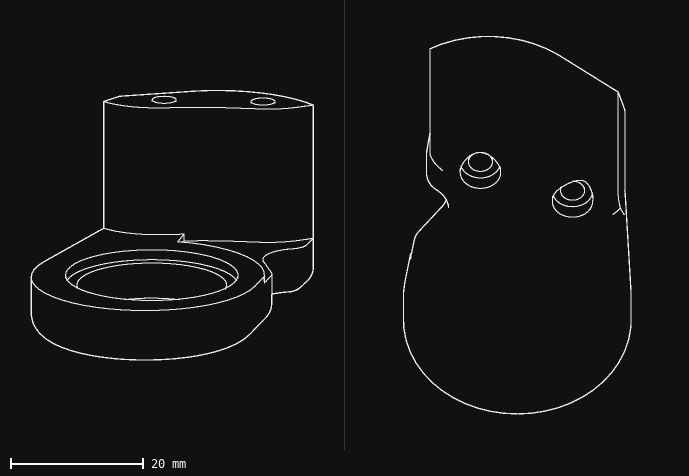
import cadquery as cq
import math

BASE_HEIGHT = 8.55
TOTAL_HEIGHT = 28.5
BOTTOM_FILLET = 2.95

END_RADIUS = 17.15
END_CENTER = (0, -1.4)

LEDGE_RADIUS = 12.95
LEDGE_DEPTH = 1.55
POCKET_RADIUS = 11.25
POCKET_FLOOR = 1.5

WEB_HEIGHT = 7.55
RIM_START = (-9.55, 14.75)
RIM_MIDDLE = (-0.65, 17.25)
RIM_END = (12.55, 11.35)
RIM_WALL_POINT = (-11.6, 18.0)

HOLE_RADIUS = 1.8
COUNTERBORE_RADIUS = 3.05
COUNTERBORE_DEPTH = 2.6
HOLE_CENTERS = [(-5.5, 28.7), (-16.5, 18.7)]

HEEL_APEX = (-23.1, 14.2)
HEEL_FLAT_Y = (11.55, 15.2)
WALL_BACK_START = (-16.55, 25.05)
WALL_BACK_MIDDLE = (-10.15, 30.95)
WALL_TIP = (1.05, 32.9)

LOBE_START = (2.7, 29.9)
LOBE_MIDDLE = (3.1, 28.3)
LOBE_END = (2.65, 26.8)
NOTCH_MIDDLE = (1.85, 23.4)
NOTCH_END = (4.8, 18.95)
SHOULDER_START = (9.25, 16.1)
SHOULDER_MIDDLE = (9.85, 15.6)
SHOULDER_END = (10.4, 14.9)

INNER_TIP_FLAT = (0.1, 30.15)
INNER_ARCS = [
    ((-1.5, 27.35), (-3.8, 25.2)),
    ((-8.95, 20.85), (-13.95, 15.4)),
    ((-17.2, 12.8), (-21.2, 11.55)),
]


def tangent_point(point, side):
    """Touch point on the round end of a line from point; side is +1 or -1 around the circle."""
    dx = point[0] - END_CENTER[0]
    dy = point[1] - END_CENTER[1]
    angle = math.atan2(dy, dx) + side * math.acos(END_RADIUS / math.hypot(dx, dy))
    return (
        END_CENTER[0] + END_RADIUS * math.cos(angle),
        END_CENTER[1] + END_RADIUS * math.sin(angle),
    )


def point_on_line(start, end, y):
    """Point with the given Y on the straight line through start and end."""
    x = start[0] + (end[0] - start[0]) * (y - start[1]) / (end[1] - start[1])
    return (x, y)


SIDE_TANGENT = tangent_point(HEEL_APEX, 1)
HEEL_FLAT = [
    point_on_line(HEEL_APEX, SIDE_TANGENT, HEEL_FLAT_Y[0]),
    point_on_line(HEEL_APEX, WALL_BACK_START, HEEL_FLAT_Y[1]),
]


def wall_back(heel):
    """Outer edge of the wall from heel to tip, left open."""
    return (
        cq.Workplane("XY")
        .polyline(heel + [WALL_BACK_START])
        .threePointArc(WALL_BACK_MIDDLE, WALL_TIP)
    )


def base_outline(heel):
    """Closed teardrop outline with the hooked lobe beside the wall tip."""
    end_bottom = (END_CENTER[0], END_CENTER[1] - END_RADIUS)
    return (
        wall_back(heel)
        .lineTo(*LOBE_START)
        .threePointArc(LOBE_MIDDLE, LOBE_END)
        .threePointArc(NOTCH_MIDDLE, NOTCH_END)
        .lineTo(*SHOULDER_START)
        .threePointArc(SHOULDER_MIDDLE, SHOULDER_END)
        .lineTo(*tangent_point(SHOULDER_END, -1))
        .threePointArc(end_bottom, SIDE_TANGENT)
        .close()
    )


def wall_outline():
    """Closed wall outline with an S-shaped inner face."""
    outline = wall_back(HEEL_FLAT).lineTo(*INNER_TIP_FLAT)
    for middle, end in INNER_ARCS:
        outline = outline.threePointArc(middle, end)
    return outline.close()


def web_recess():
    """Space above the web, outside the pocket rim and short of the wall."""
    clear_x = 20.65
    clear_y = 36.15
    return (
        cq.Workplane("XY", origin=(0, 0, WEB_HEIGHT))
        .moveTo(*RIM_WALL_POINT)
        .lineTo(*RIM_START)
        .threePointArc(RIM_MIDDLE, RIM_END)
        .lineTo(clear_x, RIM_END[1])
        .lineTo(clear_x, clear_y)
        .lineTo(RIM_WALL_POINT[0], clear_y)
        .close()
        .extrude(TOTAL_HEIGHT)
    )


block = base_outline([HEEL_APEX]).extrude(TOTAL_HEIGHT).faces("<Z").edges().fillet(BOTTOM_FILLET)
base = block.intersect(base_outline(HEEL_FLAT).extrude(BASE_HEIGHT)).cut(web_recess())
wall = block.intersect(wall_outline().extrude(TOTAL_HEIGHT))
body = base.union(wall)

pocket = cq.Workplane("XY", origin=(0, 0, POCKET_FLOOR)).circle(POCKET_RADIUS).extrude(BASE_HEIGHT)
ledge = (
    cq.Workplane("XY", origin=(0, 0, BASE_HEIGHT - LEDGE_DEPTH))
    .circle(LEDGE_RADIUS)
    .extrude(BASE_HEIGHT)
)
holes = cq.Workplane("XY").pushPoints(HOLE_CENTERS).circle(HOLE_RADIUS).extrude(TOTAL_HEIGHT)
counterbores = (
    cq.Workplane("XY").pushPoints(HOLE_CENTERS).circle(COUNTERBORE_RADIUS).extrude(COUNTERBORE_DEPTH)
)

result = body.cut(pocket).cut(ledge).cut(holes).cut(counterbores)